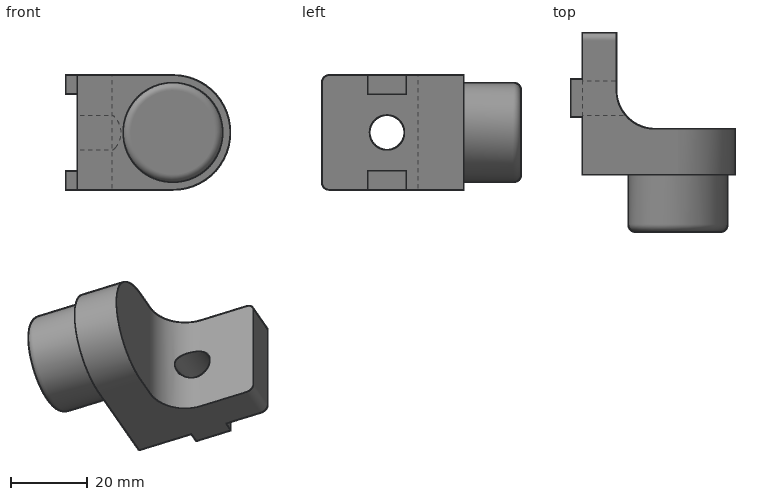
import cadquery as cq

height = 30.0
body_length = 40.0
body_depth = 37.0
wall_thickness = 9.0
arm_thickness = 12.0
inner_radius = 10.0
wall_corner_radius = 2.0

boss_diameter = 26.0
boss_length = 15.0
boss_edge_radius = 2.0

hole_diameter = 9.0
hole_from_wall_end = 17.0

tab_projection = 3.0
tab_width = 10.0
tab_height = 5.0

end_radius = height / 2
end_center_x = body_length - end_radius
hole_y = body_depth - hole_from_wall_end


def make_bracket():
    """L-shaped body with a blended inner corner and a full-round arm end."""
    wall = cq.Workplane("XY").box(wall_thickness, body_depth, height, centered=(False, False, True))
    arm = cq.Workplane("XY").box(end_center_x, arm_thickness, height, centered=(False, False, True))
    round_end = cq.Workplane("XZ").center(end_center_x, 0).circle(end_radius).extrude(-arm_thickness)
    wall = wall.faces(">Y").edges("|X").fillet(wall_corner_radius)
    inner_corner = cq.selectors.NearestToPointSelector((wall_thickness, arm_thickness, 0))
    angle = wall.union(arm).edges("|Z").edges(inner_corner).fillet(inner_radius)
    return angle.union(round_end)


def make_boss():
    """Cylinder on the arm, concentric with the round end, with a rounded rim."""
    boss = cq.Workplane("XZ").center(end_center_x, 0).circle(boss_diameter / 2).extrude(boss_length)
    return boss.faces("<Y").edges().fillet(boss_edge_radius)


def make_tab(side):
    """Locating tab on the outer wall face, flush with the top (1) or bottom (-1)."""
    tab_z = side * (height - tab_height) / 2
    return cq.Workplane("XY").box(tab_projection, tab_width, tab_height).translate(
        (-tab_projection / 2, hole_y, tab_z)
    )


def make_hole():
    """Cutter through the wall and its inner blend, along X."""
    return cq.Workplane("YZ").center(hole_y, 0).circle(hole_diameter / 2).extrude(body_length)


result = make_bracket().union(make_boss())
for side in (-1, 1):
    result = result.union(make_tab(side))
result = result.cut(make_hole())